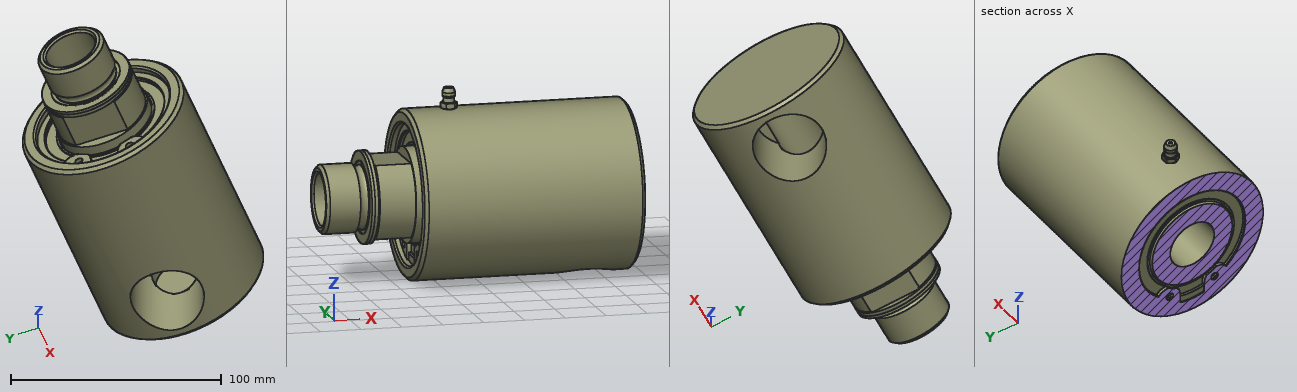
import cadquery as cq
import math


overall_length = 149.9

housing_diameter = 82.0
housing_front = 42.0
housing_chamfer = 1.6

mouth_diameter = 68.0
mouth_chamfer = 0.9
seat_diameter = 60.7
seat_depth = 3.9
floor_depth = 5.2
seal_lip_diameter = 49.8
seal_lip_height = 0.6
seal_bore_diameter = 47.5
seal_bore_depth = 4.5

cover_depth = 3.0
cover_inner_diameter = 61.2
cover_outer_bevel = 1.0
cover_outer_drop = 0.3
cover_inner_bevel = 0.7
cover_inner_drop = 0.1
pad_radius = 7.0
pad_offset_y = 14.0
pad_offset_z = -27.7
pad_hole_diameter = 3.7
pad_hole_y = 12.9
pad_hole_z = -26.7

thread_diameter = 33.3
thread_length = 16.3
thread_chamfer = 1.5
neck_waist_diameter = 30.3
neck_end_diameter = 31.2
washer_recess_diameter = 35.0
washer_recess_depth = 0.6
flange_front = 20.5
washer_thickness = 1.5
flange_diameter = 44.7
shaft_diameter = 44.5
groove_start = 23.8
groove_width = 0.6
groove_depth = 0.3
collar_diameter = 46.3
wrench_flat_width = 36.0

bore_diameter = 25.0
bore_mouth_diameter = 27.0
port_diameter = 35.0
port_x = 127.5

nipple_x = 63.7
nipple_height = 10.0
nipple_stem_depth = 1.5
nipple_hex_top = 44.0
nipple_hex_flats = 7.0
nipple_hex_bevel_height = 0.5
nipple_hex_face_diameter = 6.5
nipple_neck_base_diameter = 5.5
nipple_neck_diameter = 5.1
nipple_neck_z = 46.3
nipple_head_diameter = 6.3
nipple_head_bottom = 47.2
nipple_head_shoulder = 48.9
nipple_tip_diameter = 4.5
nipple_dimple_diameter = 1.5
nipple_dimple_depth = 0.9

housing_radius = housing_diameter / 2
nipple_top = housing_radius + nipple_height
seat_x = housing_front + seat_depth
floor_x = housing_front + floor_depth
cover_x = housing_front + cover_depth
seal_bore_end = floor_x + seal_bore_depth


def rod(start, end, diameter):
    """Solid cylinder along X."""
    return cq.Workplane("YZ", origin=(start, 0, 0)).circle(diameter / 2).extrude(end - start)


def make_housing():
    body = rod(housing_front, overall_length, housing_diameter)
    body = body.faces("<X or >X").chamfer(housing_chamfer)
    mouth = rod(housing_front, seat_x, mouth_diameter)
    lead_in = (
        cq.Workplane("YZ", origin=(housing_front, 0, 0))
        .circle(mouth_diameter / 2 + mouth_chamfer)
        .extrude(mouth_chamfer, taper=45)
    )
    seat = rod(seat_x, floor_x, seat_diameter)
    seal_lip = rod(floor_x - seal_lip_height, floor_x, seal_lip_diameter)
    seal_bore = rod(floor_x - seal_lip_height, seal_bore_end, seal_bore_diameter)
    return body.cut(mouth).cut(lead_in).cut(seat).union(seal_lip).cut(seal_bore)


def make_cover():
    disc = rod(cover_x, seat_x, mouth_diameter)
    disc = disc.faces("<X").chamfer(cover_outer_drop, cover_outer_bevel)
    opening_radius = cover_inner_diameter / 2
    opening = (
        cq.Workplane("XY")
        .moveTo(cover_x, 0)
        .lineTo(cover_x, opening_radius + cover_inner_bevel)
        .lineTo(cover_x + cover_inner_drop, opening_radius)
        .lineTo(seat_x, opening_radius)
        .lineTo(seat_x, 0)
        .close()
        .revolve(360, (0, 0, 0), (1, 0, 0))
    )
    ring = disc.cut(opening)
    outline = rod(cover_x, floor_x, seat_diameter).union(disc)
    notch_half_width = pad_offset_y - pad_radius
    notch = (
        cq.Workplane("XY")
        .box(floor_depth, 2 * notch_half_width, housing_radius, centered=(False, True, False))
        .translate((cover_x, 0, -housing_radius))
    )
    cover = ring.cut(notch)
    for side in (-1, 1):
        inner_edge = side * notch_half_width
        outer_edge = side * (pad_offset_y + pad_radius)
        pad = (
            cq.Workplane("YZ", origin=(cover_x, 0, 0))
            .moveTo(inner_edge, -housing_radius)
            .lineTo(inner_edge, pad_offset_z)
            .threePointArc((side * pad_offset_y, pad_offset_z + pad_radius), (outer_edge, pad_offset_z))
            .lineTo(outer_edge, -housing_radius)
            .close()
            .extrude(floor_depth - cover_depth)
        )
        hole = (
            cq.Workplane("YZ", origin=(cover_x, 0, 0))
            .center(side * pad_hole_y, pad_hole_z)
            .circle(pad_hole_diameter / 2)
            .extrude(floor_depth - cover_depth)
        )
        cover = cover.union(pad.intersect(outline)).cut(hole)
    return cover.cut(rod(cover_x, floor_x, seal_lip_diameter))


def make_shaft():
    thread_radius = thread_diameter / 2
    neck_waist_radius = neck_waist_diameter / 2
    neck_end_radius = neck_end_diameter / 2
    washer_back = flange_front + washer_thickness
    neck_middle = (thread_length + flange_front) / 2
    recess_floor = flange_front + washer_recess_depth
    recess_radius = washer_recess_diameter / 2
    shaft_radius = shaft_diameter / 2
    flange_radius = flange_diameter / 2
    shaft = (
        cq.Workplane("XZ")
        .moveTo(0, 0)
        .lineTo(0, thread_radius - thread_chamfer)
        .lineTo(thread_chamfer, thread_radius)
        .lineTo(thread_length, thread_radius)
        .threePointArc((neck_middle, neck_waist_radius), (flange_front, neck_end_radius))
        .lineTo(recess_floor, neck_end_radius)
        .lineTo(recess_floor, recess_radius)
        .lineTo(flange_front, recess_radius)
        .lineTo(flange_front, shaft_radius)
        .lineTo(washer_back, shaft_radius)
        .lineTo(washer_back, flange_radius)
        .lineTo(groove_start, flange_radius)
        .lineTo(groove_start, shaft_radius - groove_depth)
        .lineTo(groove_start + groove_width, shaft_radius - groove_depth)
        .lineTo(groove_start + groove_width, shaft_radius)
        .lineTo(housing_front, shaft_radius)
        .lineTo(housing_front, 0)
        .close()
        .revolve(360, (0, 0, 0), (1, 0, 0))
    )
    flat_length = housing_front - groove_start
    for side in (-1, 1):
        waste = (
            cq.Workplane("XY")
            .box(flat_length, shaft_diameter, shaft_diameter, centered=(False, True, True))
            .translate((groove_start, 0, side * (wrench_flat_width + shaft_diameter) / 2))
        )
        shaft = shaft.cut(waste)
    collar = rod(housing_front, seal_bore_end, collar_diameter)
    return shaft.union(collar)


def make_passage():
    """Bore through the shaft, open to the radial port on the underside."""
    bore = rod(0, port_x + port_diameter / 2, bore_diameter)
    mouth_step = (bore_mouth_diameter - bore_diameter) / 2
    lead_in = (
        cq.Workplane("YZ")
        .circle(bore_mouth_diameter / 2)
        .extrude(mouth_step, taper=45)
    )
    port = (
        cq.Workplane("XY", origin=(port_x, 0, -housing_radius))
        .circle(port_diameter / 2)
        .extrude(housing_radius)
    )
    return bore.union(lead_in).union(port)


def make_nipple():
    hex_height = nipple_hex_top - housing_radius
    corner_diameter = nipple_hex_flats / math.cos(math.pi / 6)
    bevel_width = (corner_diameter - nipple_hex_face_diameter) / 2
    hexagon = (
        cq.Workplane("XY", origin=(0, 0, housing_radius))
        .polygon(6, corner_diameter)
        .extrude(hex_height)
    )
    bevelled_disc = (
        cq.Workplane("XY", origin=(0, 0, housing_radius))
        .circle(corner_diameter / 2)
        .extrude(hex_height)
    )
    for end in (">Z", "<Z"):
        bevelled_disc = bevelled_disc.faces(end).chamfer(nipple_hex_bevel_height, bevel_width)
    stem = (
        cq.Workplane("XY", origin=(0, 0, housing_radius - nipple_stem_depth))
        .circle(nipple_hex_face_diameter / 2)
        .extrude(nipple_stem_depth)
    )
    head = (
        cq.Workplane("XZ")
        .moveTo(0, nipple_hex_top)
        .lineTo(nipple_neck_base_diameter / 2, nipple_hex_top)
        .lineTo(nipple_neck_diameter / 2, nipple_neck_z)
        .lineTo(nipple_head_diameter / 2, nipple_head_bottom)
        .lineTo(nipple_head_diameter / 2, nipple_head_shoulder)
        .lineTo(nipple_tip_diameter / 2, nipple_top)
        .lineTo(0, nipple_top)
        .close()
        .revolve(360, (0, 0, 0), (0, 1, 0))
    )
    dimple = (
        cq.Workplane("XY", origin=(0, 0, nipple_top - nipple_dimple_depth))
        .circle(nipple_dimple_diameter / 2)
        .extrude(nipple_dimple_depth)
    )
    nipple = hexagon.intersect(bevelled_disc).union(stem).union(head).cut(dimple)
    return nipple.translate((nipple_x, 0, 0))


result = (
    make_housing()
    .union(make_cover())
    .union(make_shaft())
    .cut(make_passage())
    .union(make_nipple())
)